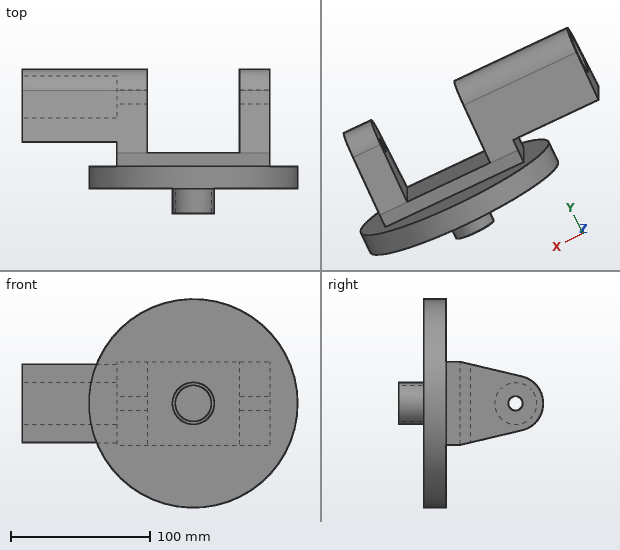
import cadquery as cq
import math

overall_length = 198.0
disc_diameter = 150.0
disc_thickness = 16.0

spigot_diameter = 30.0
spigot_length = 18.0
spigot_bore_diameter = 26.0

fork_width = 110.0
fork_height = 60.0
base_thickness = 9.9
arm_thickness = 22.0

pivot_distance = 49.9
pivot_radius = 20.0
pin_hole_diameter = 10.0

housing_bore_diameter = 30.0
housing_setback = 17.5

fork_left = -fork_width / 2
fork_right = fork_width / 2
housing_left = disc_diameter / 2 - overall_length
housing_length = fork_left - housing_left


def cylinder_along_y(diameter, start, length):
    """Cylinder on the disc axis, running from start towards -Y."""
    return cq.Workplane("XZ", origin=(0, start, 0)).circle(diameter / 2).extrude(length)


def cylinder_along_x(diameter, start, length):
    """Cylinder on the pivot axis, running from start towards +X."""
    return (
        cq.Workplane("YZ", origin=(start, pivot_distance, 0))
        .circle(diameter / 2)
        .extrude(length)
    )


def arm_profile(start, length):
    """Base-height foot whose sides taper tangentially into the rounded pivot end."""
    half_height = fork_height / 2
    taper_run = pivot_distance - base_thickness
    corner_distance = math.hypot(taper_run, half_height)
    taper_angle = math.atan2(half_height, taper_run) - math.asin(pivot_radius / corner_distance)
    tangent_y = pivot_distance + pivot_radius * math.sin(taper_angle)
    tangent_z = pivot_radius * math.cos(taper_angle)
    return (
        cq.Workplane("YZ", origin=(start, 0, 0))
        .moveTo(0, -half_height)
        .lineTo(base_thickness, -half_height)
        .lineTo(tangent_y, -tangent_z)
        .threePointArc((pivot_distance + pivot_radius, 0), (tangent_y, tangent_z))
        .lineTo(base_thickness, half_height)
        .lineTo(0, half_height)
        .close()
        .extrude(length)
    )


def make_disc():
    """Round plate with a hollow spigot on its front face."""
    disc = cylinder_along_y(disc_diameter, 0, disc_thickness)
    spigot = cylinder_along_y(spigot_diameter, -disc_thickness, spigot_length)
    bore = cylinder_along_y(spigot_bore_diameter, -disc_thickness, spigot_length)
    return disc.union(spigot).cut(bore)


def make_fork():
    """Base strip with an arm at each end, both pierced by the pin hole."""
    base = cq.Workplane("XY").box(
        fork_width, base_thickness, fork_height, centered=(True, False, True)
    )
    left_arm = arm_profile(fork_left, arm_thickness)
    right_arm = arm_profile(fork_right - arm_thickness, arm_thickness)
    pin_hole = cylinder_along_x(pin_hole_diameter, fork_left, fork_width)
    return base.union(left_arm).union(right_arm).cut(pin_hole)


def make_housing():
    """Arm section extended outward from the left arm, set back from the disc and bored."""
    housing = arm_profile(housing_left, housing_length)
    clearance = cq.Workplane("XY", origin=(housing_left, 0, 0)).box(
        housing_length, housing_setback, fork_height, centered=(False, False, True)
    )
    bore = cylinder_along_x(housing_bore_diameter, housing_left, housing_length)
    return housing.cut(clearance).cut(bore)


result = make_disc().union(make_fork()).union(make_housing()).clean()